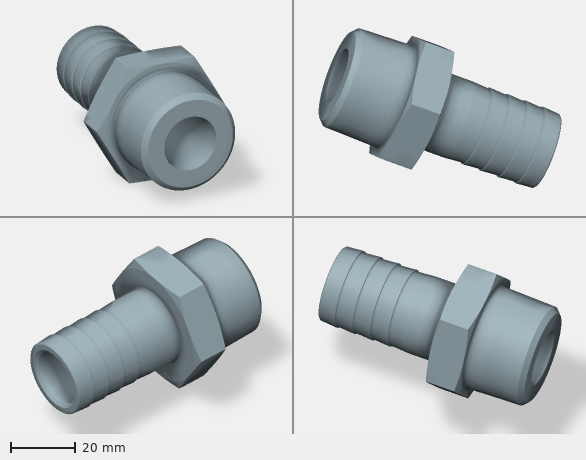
import cadquery as cq
import math

total_length = 71.0
barbed_length = 29.95
barb_count = 5
barb_back_length = 0.2
hex_start = 40.05
hex_width = 11.2
thread_straight_length = 2.9

tail_diameter = 25.4
barb_root_diameter = 24.6
tip_chamfer = 0.35

across_flats = 39.0
corner_diameter = 44.9
hex_chamfer_angle = 15.0

thread_diameter = 33.65
thread_taper = 1 / 16
thread_chamfer = 1.7

bore_diameter = 18.0
bore_chamfer = 1.0
shoulder_fillet = 0.65

barb_pitch = barbed_length / barb_count
hex_end = hex_start + hex_width
tail_radius = tail_diameter / 2
barb_root_radius = barb_root_diameter / 2
thread_radius = thread_diameter / 2
bore_radius = bore_diameter / 2
hex_middle = hex_start + hex_width / 2


def fillet_midpoint(face_x, outward, radius):
    """Middle of the concave arc between a hexagon face and a cylinder of the given radius."""
    inset = shoulder_fillet * (1 - math.sqrt(0.5))
    return (face_x + outward * inset, radius + inset)


def revolve_about_x(profile):
    return profile.close().revolve(360, (0, 0, 0), (1, 0, 0))


def make_tail():
    """Barbed hose tail; the last barb runs smoothly into the plain shank."""
    profile = (
        cq.Workplane("XY")
        .lineTo(0, barb_root_radius - tip_chamfer)
        .lineTo(tip_chamfer, barb_root_radius)
    )
    for barb in range(1, barb_count):
        barb_end = barb * barb_pitch
        profile = profile.lineTo(barb_end - barb_back_length, tail_radius)
        profile = profile.lineTo(barb_end, barb_root_radius)
    profile = (
        profile.lineTo(barbed_length, tail_radius)
        .lineTo(hex_start - shoulder_fillet, tail_radius)
        .threePointArc(
            fillet_midpoint(hex_start, -1, tail_radius),
            (hex_start, tail_radius + shoulder_fillet),
        )
        .lineTo(hex_middle, tail_radius + shoulder_fillet)
        .lineTo(hex_middle, 0)
    )
    return revolve_about_x(profile)


def make_hexagon():
    """Hexagon with flats facing +Z and -Z, trimmed by a turned body with conical faces."""
    prism = (
        cq.Workplane("YZ", origin=(hex_start, 0, 0))
        .polygon(6, across_flats / math.cos(math.pi / 6))
        .extrude(hex_width)
    )
    flat_radius = across_flats / 2
    corner_radius = corner_diameter / 2
    cone_depth = (corner_radius - flat_radius) * math.tan(math.radians(hex_chamfer_angle))
    turned_body = revolve_about_x(
        cq.Workplane("XY")
        .moveTo(hex_start, 0)
        .lineTo(hex_start, flat_radius)
        .lineTo(hex_start + cone_depth, corner_radius)
        .lineTo(hex_end - cone_depth, corner_radius)
        .lineTo(hex_end, flat_radius)
        .lineTo(hex_end, 0)
    )
    return prism.intersect(turned_body)


def make_thread_end():
    """Tapered thread body: a short cylinder, a 1:16 cone and an end chamfer."""
    taper_start = hex_end + thread_straight_length
    chamfer_start = total_length - thread_chamfer
    small_radius = thread_radius - (chamfer_start - taper_start) * thread_taper / 2
    return revolve_about_x(
        cq.Workplane("XY")
        .moveTo(hex_middle, 0)
        .lineTo(hex_middle, thread_radius + shoulder_fillet)
        .lineTo(hex_end, thread_radius + shoulder_fillet)
        .threePointArc(
            fillet_midpoint(hex_end, 1, thread_radius),
            (hex_end + shoulder_fillet, thread_radius),
        )
        .lineTo(taper_start, thread_radius)
        .lineTo(chamfer_start, small_radius)
        .lineTo(total_length, small_radius - thread_chamfer)
        .lineTo(total_length, 0)
    )


def make_bore():
    """Through bore, chamfered at the hose end."""
    return revolve_about_x(
        cq.Workplane("XY")
        .lineTo(0, bore_radius + bore_chamfer)
        .lineTo(bore_chamfer, bore_radius)
        .lineTo(total_length, bore_radius)
        .lineTo(total_length, 0)
    )


result = make_tail().union(make_hexagon()).union(make_thread_end()).cut(make_bore())